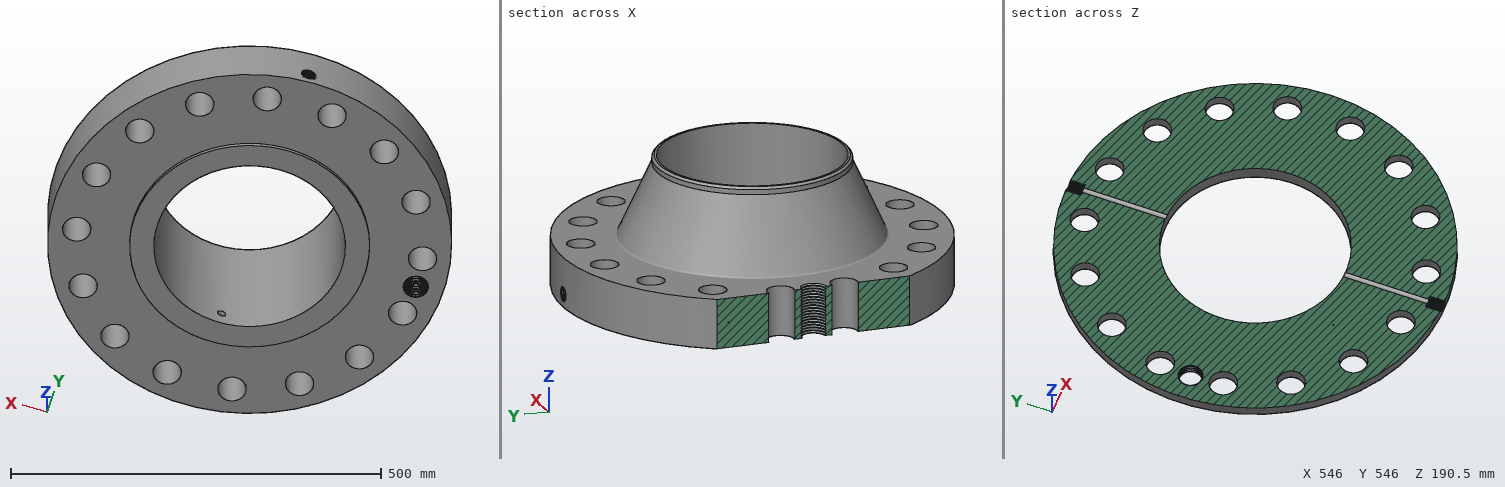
import cadquery as cq
import math

flange_diameter = 546.0
overall_height = 190.5
raised_face_height = 5.5
raised_face_diameter = 324.5
flange_thickness = 71.0
bore_diameter = 259.0

hub_diameter = 367.0
hub_fillet_radius = 3.5
foot_slab_half_height = 0.5
neck_diameter = 272.0
neck_height = 10.5
weld_bevel = 3.5

bolt_count = 16
bolt_circle_diameter = 469.5
bolt_hole_diameter = 38.0

jack_major_diameter = 35.5
jack_minor_diameter = 31.5
jack_pitch = 4.0

tap_height = 24.0
tap_bore_diameter = 11.5
tap_mouth_diameter = 21.0
tap_core_diameter = 17.0
tap_pitch = 1.8
tap_thread_turns = 12

flange_top = raised_face_height + flange_thickness
flange_radius = flange_diameter / 2
bore_radius = bore_diameter / 2


def make_body():
    """Revolve the flange, its raised face, the hub and the bored neck about Z."""
    neck_bottom = overall_height - neck_height
    neck_radius = neck_diameter / 2
    profile = (
        cq.Workplane("XZ")
        .moveTo(bore_radius, 0)
        .lineTo(raised_face_diameter / 2, 0)
        .lineTo(raised_face_diameter / 2, raised_face_height)
        .lineTo(flange_radius, raised_face_height)
        .lineTo(flange_radius, flange_top)
        .lineTo(hub_diameter / 2, flange_top)
        .lineTo(neck_radius, neck_bottom)
        .lineTo(neck_radius, overall_height - weld_bevel)
        .lineTo(neck_radius - weld_bevel, overall_height)
        .lineTo(bore_radius, overall_height)
        .close()
    )
    body = profile.revolve(360, (0, 0, 0), (0, 1, 0))
    foot_slab = cq.selectors.BoxSelector(
        (-hub_diameter, -hub_diameter, flange_top - foot_slab_half_height),
        (hub_diameter, hub_diameter, flange_top + foot_slab_half_height),
    )
    hub_foot = body.edges(foot_slab).edges(cq.selectors.RadiusNthSelector(0))
    return hub_foot.fillet(hub_fillet_radius)


def make_bolt_holes():
    """Through holes straddling the X and Y axes."""
    return (
        cq.Workplane("XY")
        .polarArray(bolt_circle_diameter / 2, 180 / bolt_count, 360, bolt_count)
        .circle(bolt_hole_diameter / 2)
        .extrude(flange_top)
    )


def make_thread_cutter(core_radius, groove_radius, pitch, turns):
    """Solid along +Z from the origin: a core with V-shaped rings that cut one groove per turn."""
    points = [(0, 0), (groove_radius, 0)]
    for turn in range(turns):
        points.append((core_radius, (turn + 0.5) * pitch))
        points.append((groove_radius, (turn + 1) * pitch))
    points.append((0, turns * pitch))
    return cq.Workplane("XZ").polyline(points).close().revolve(360, (0, 0, 0), (0, 1, 0))


def make_jack_hole():
    """Threaded through hole on the -X side of the flange."""
    turns = math.ceil(flange_thickness / jack_pitch)
    cutter = make_thread_cutter(jack_minor_diameter / 2, jack_major_diameter / 2, jack_pitch, turns)
    return cutter.translate((-bolt_circle_diameter / 2, 0, flange_top - turns * jack_pitch))


def make_tap():
    """Radial tap on the -Y side: threaded mouth and a plain bore into the pipe."""
    thread = make_thread_cutter(tap_core_diameter / 2, tap_mouth_diameter / 2, tap_pitch, tap_thread_turns)
    bore = cq.Workplane("XY").circle(tap_bore_diameter / 2).extrude(flange_radius)
    tap = thread.union(bore)
    return tap.rotate((0, 0, 0), (1, 0, 0), -90).translate((0, -flange_radius, tap_height))


tap = make_tap()
opposite_tap = tap.rotate((0, 0, 0), (0, 0, 1), 180)

result = make_body().cut(make_bolt_holes()).cut(make_jack_hole()).cut(tap).cut(opposite_tap)